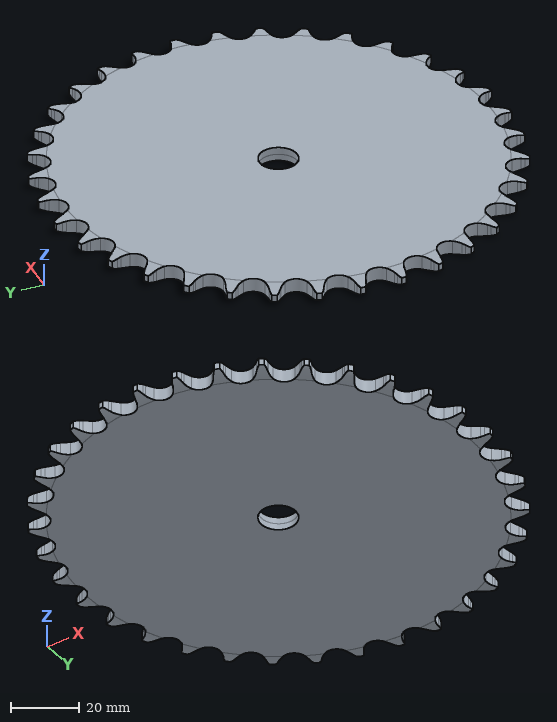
import cadquery as cq
import math


overall_width = 147.5
thickness = 4.5
bore_diameter = 12.0
tooth_count = 35

chain_pitch = 12.7
seat_radius = 4.0
working_radius = 10.3
flat_length = 1.12
topping_radius = 6.5
relief_radius = 68.2
tip_thickness = 2.4

seat_end_angle = math.radians(35 + 60 / tooth_count)
working_angle = math.radians(18 - 56 / tooth_count)

half_step = math.pi / tooth_count
pitch_radius = chain_pitch / 2 / math.sin(half_step)
side_tooth_angle = half_step / 2
first_tooth_angle = math.pi


def move(point, distance, angle):
    """Point at a distance and direction from another point."""
    return (point[0] + distance * math.cos(angle), point[1] + distance * math.sin(angle))


def half_tooth_points():
    """Right half of a tooth pointing along +Y, from the gap bottom up to the tip corner."""
    seat_end = math.pi - half_step + seat_end_angle
    working_end = seat_end - working_angle

    seat_center = move((0, 0), pitch_radius, math.pi / 2 - half_step)
    working_center = move(seat_center, seat_radius - working_radius, seat_end)
    flat_bottom = move(working_center, working_radius, working_end)
    flat_top = move(flat_bottom, flat_length, working_end - math.pi / 2)
    topping_center = move(flat_top, topping_radius, working_end)

    width_direction = math.pi / 2 - side_tooth_angle
    center_reach = (
        topping_center[0] * math.cos(width_direction) + topping_center[1] * math.sin(width_direction)
    )
    topping_start = working_end - math.pi
    topping_end = width_direction - math.acos((overall_width / 2 - center_reach) / topping_radius)

    return {
        "gap_bottom": move((0, 0), pitch_radius - seat_radius, math.pi / 2 - half_step),
        "seat_middle": move(seat_center, seat_radius, (seat_end + 3 * math.pi / 2 - half_step) / 2),
        "seat_end": move(seat_center, seat_radius, seat_end),
        "working_middle": move(working_center, working_radius, (seat_end + working_end) / 2),
        "flat_bottom": flat_bottom,
        "flat_top": flat_top,
        "topping_middle": move(topping_center, topping_radius, (topping_start + topping_end) / 2),
        "tip_corner": move(topping_center, topping_radius, topping_end),
    }


half_tooth = half_tooth_points()
tip_radius = math.hypot(*half_tooth["tip_corner"])


def place(point, angle):
    """Rotate a point about the sprocket axis."""
    return (
        point[0] * math.cos(angle) - point[1] * math.sin(angle),
        point[0] * math.sin(angle) + point[1] * math.cos(angle),
    )


def add_tooth(outline, angle):
    """Add one tooth, from the gap bottom on its left to the gap bottom on its right."""
    right = {name: place(point, angle) for name, point in half_tooth.items()}
    left = {name: place((-x, y), angle) for name, (x, y) in half_tooth.items()}
    return (
        outline
        .threePointArc(left["seat_middle"], left["seat_end"])
        .threePointArc(left["working_middle"], left["flat_bottom"])
        .lineTo(*left["flat_top"])
        .threePointArc(left["topping_middle"], left["tip_corner"])
        .threePointArc(place((0, tip_radius), angle), right["tip_corner"])
        .threePointArc(right["topping_middle"], right["flat_top"])
        .lineTo(*right["flat_bottom"])
        .threePointArc(right["working_middle"], right["seat_end"])
        .threePointArc(right["seat_middle"], right["gap_bottom"])
    )


def make_toothed_blank():
    """Full-thickness plate with the tooth outline, going clockwise around the axis."""
    start = place(half_tooth["gap_bottom"], first_tooth_angle + 2 * half_step)
    outline = cq.Workplane("XY", origin=(0, 0, -thickness / 2)).moveTo(*start)
    for index in range(tooth_count):
        outline = add_tooth(outline, first_tooth_angle - 2 * half_step * index)
    return outline.close().extrude(thickness)


def make_relieved_disc():
    """Disc whose rim thins along arcs that leave both flat faces tangentially."""
    relief_width = tip_radius - relief_radius
    relief_depth = (thickness - tip_thickness) / 2
    arc_radius = (relief_width**2 + relief_depth**2) / (2 * relief_depth)
    arc_middle = math.asin(relief_width / arc_radius) / 2
    middle_r = relief_radius + arc_radius * math.sin(arc_middle)
    middle_z = thickness / 2 - arc_radius * (1 - math.cos(arc_middle))
    return (
        cq.Workplane("XZ")
        .moveTo(0, -thickness / 2)
        .lineTo(relief_radius, -thickness / 2)
        .threePointArc((middle_r, -middle_z), (tip_radius, -tip_thickness / 2))
        .lineTo(tip_radius, tip_thickness / 2)
        .threePointArc((middle_r, middle_z), (relief_radius, thickness / 2))
        .lineTo(0, thickness / 2)
        .close()
        .revolve(360, (0, 0), (0, 1))
    )


bore = cq.Workplane("XY").circle(bore_diameter / 2).extrude(thickness, both=True)
result = make_toothed_blank().intersect(make_relieved_disc()).cut(bore)